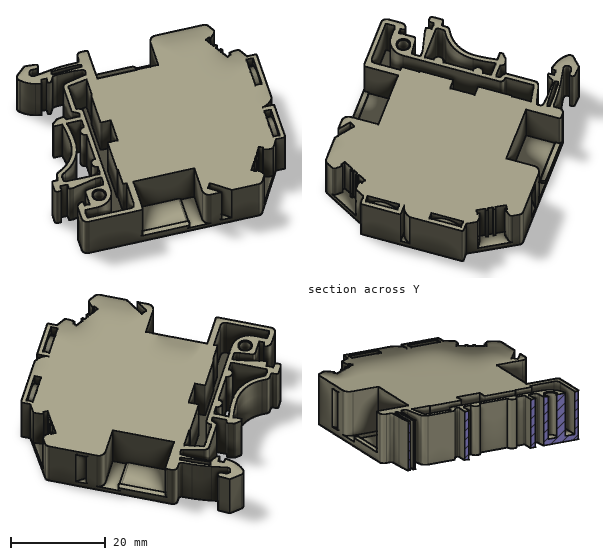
import cadquery as cq
import math

WIDTH = 43.8
HEIGHT = 50.75
THICKNESS = 11.0
HALF_WIDTH = WIDTH / 2
WALL = 1.35
TOUCHING = 0.0005
CHAMFER_ANGLE = 45.0
CLOSED_SLOT_TOP = 9.95
OVERCUT = 0.5

CROWN_HALF = 11.4
CROWN_FOOT_Y = 48.65
SHOULDER_ANGLE = 30.0
SHOULDER_Y = CROWN_FOOT_Y - (HALF_WIDTH - CROWN_HALF) * math.tan(math.radians(SHOULDER_ANGLE))
SHOULDER_R = 1.1
CROWN_R = 0.3

BODY_BOTTOM_Y = 14.15
TRAY_UNDERSIDE_Y = 10.45
TRAY_LOW_Y = 9.1
LEG_BOTTOM_Y = 3.5

STRAP_APEX_X = 0.55
STRAP_APEX_Y = 6.65
STRAP_THICKNESS = 1.0
STRAP_LEFT_X = -4.4
STRAP_FLAT_R = 28.4
STRAP_FLAT_ANGLE = 9.3
STRAP_TIGHT_R = 7.55
STRAP_TIGHT_ANGLE = 59.5


def rounded_wire(corners):
    """Closed sketch through (x, y) or (x, y, radius) corners, with tangent arcs at the radii."""
    stretches = []
    for i, corner in enumerate(corners):
        here = cq.Vector(corner[0], corner[1])
        radius = corner[2] if len(corner) > 2 else 0
        if radius == 0:
            stretches.append((here,))
            continue
        before = corners[i - 1]
        after = corners[(i + 1) % len(corners)]
        to_before = (cq.Vector(before[0], before[1]) - here).normalized()
        to_after = (cq.Vector(after[0], after[1]) - here).normalized()
        half_angle = to_before.getAngle(to_after) / 2
        tangent = radius / math.tan(half_angle)
        sagitta = radius / math.sin(half_angle) - radius
        middle = here + (to_before + to_after).normalized() * sagitta
        stretches.append((here + to_before * tangent, middle, here + to_after * tangent))

    sketch = cq.Workplane("XY").moveTo(*stretches[0][-1].toTuple()[:2])
    position = stretches[0][-1]
    for stretch in stretches[1:] + stretches[:1]:
        gap = (stretch[0] - position).Length
        if gap > TOUCHING:
            sketch = sketch.lineTo(*stretch[0].toTuple()[:2])
        position = stretch[-1]
        if len(stretch) == 3:
            sketch = sketch.threePointArc(stretch[1].toTuple()[:2], stretch[2].toTuple()[:2])
    return sketch.close()


def prism(corners, bottom=0.0, top=THICKNESS):
    return rounded_wire(corners).extrude(top - bottom).translate((0, 0, bottom))


def block(x0, x1, y0, y1, z0, z1):
    return cq.Workplane("XY").box(x1 - x0, y1 - y0, z1 - z0, centered=False).translate((x0, y0, z0))


def open_cut(corners, floor=WALL):
    """Cutter that is open at the +Z face and stops at the given floor."""
    return prism(corners, floor, THICKNESS + OVERCUT)


def both_sides(shape):
    return shape.union(shape.mirror("YZ"))


def strap_curve(offset, left_x, right_end_y, left_r, right_r):
    """Corners of one strap side: both arcs, run on along their tangents to the given ends."""
    flat_angle = math.radians(STRAP_FLAT_ANGLE)
    tight_angle = math.radians(STRAP_TIGHT_ANGLE)
    flat_r = STRAP_FLAT_R + offset
    tight_r = STRAP_TIGHT_R + offset
    flat_x = STRAP_APEX_X - flat_r * math.tan(flat_angle / 2)
    tight_x = STRAP_APEX_X + tight_r * math.tan(tight_angle / 2)
    y = STRAP_APEX_Y + offset
    return [
        (left_x, y - (flat_x - left_x) * math.tan(flat_angle), left_r),
        (flat_x, y, flat_r),
        (tight_x, y, tight_r),
        (tight_x + (y - right_end_y) / math.tan(tight_angle), right_end_y, right_r),
    ]


def housing():
    left_side = [
        (-CROWN_HALF, HEIGHT, CROWN_R),
        (-CROWN_HALF, CROWN_FOOT_Y),
        (-HALF_WIDTH, SHOULDER_Y, SHOULDER_R),
        (-HALF_WIDTH, BODY_BOTTOM_Y, 1.0),
    ]
    latch_arm = [
        (-19.45, BODY_BOTTOM_Y, 0.6), (-19.3, 9.4, 30.45),
        (-18.2, 3.15, 0.75), (-20.1, 3.15, 0.85), (-20.1, 5.45, 0.5), (-21.2, 5.45, 0.5), (-21.4, 2.65),
        (-18.9, -0.1, 0.95), (-16.75, 2.0, 6.1), (-16.0, 4.95, 0.15), (-17.05, 5.1), (-17.05, 6.3),
        (-15.8, 6.3, 0.1), (-15.85, 6.9, 0.15), (-17.2, 7.7), (-17.4, 8.6), (-17.4, 12.4),
        (-17.2, 14.65, 0.6), (-15.9, 14.65, 0.5),
    ]
    tray_underside = [
        (-14.55, TRAY_LOW_Y, 1.2), (-7.15, TRAY_LOW_Y, 0.3),
        (-6.3, TRAY_UNDERSIDE_Y, 0.3), (-5.5, TRAY_UNDERSIDE_Y, 0.3),
    ]
    spring_foot = [
        (-5.5, 7.45, 0.15), (-6.35, 7.05, 0.2), (-6.1, 5.55, 0.5), (-5.1, 4.35, 0.15),
        (STRAP_LEFT_X, 4.35, 0.15),
        *strap_curve(0, STRAP_LEFT_X, 1.5, 0, 1.0),
        (9.55, 1.45, 0.35), (9.55, 0.0, 0.45), (12.5, 0.0, 0.55), (12.5, 1.35, 0.1),
        (11.2, 1.45), (11.2, 3.0), (12.45, 3.1, 0.1), (12.45, 3.9), (11.25, 9.15),
        (11.25, TRAY_UNDERSIDE_Y, 0.3),
    ]
    fixed_leg = [
        (13.25, TRAY_UNDERSIDE_Y, 0.5), (13.35, 9.45), (13.7, 6.15, 0.6), (17.5, 6.15), (17.5, 5.1),
        (16.4, 4.9, 0.2), (16.85, LEG_BOTTOM_Y, 1.3), (HALF_WIDTH, LEG_BOTTOM_Y, 1.2),
    ]
    right_side = [
        (HALF_WIDTH, SHOULDER_Y, SHOULDER_R),
        (CROWN_HALF, CROWN_FOOT_Y),
        (CROWN_HALF, HEIGHT, CROWN_R),
    ]
    return prism(left_side + latch_arm + tray_underside + spring_foot + fixed_leg + right_side)


def arm_slot():
    return prism([(-18.75, 14.3, 0.25), (-18.05, 14.3, 0.25), (-17.7, 7.7, 0.2), (-18.5, 7.7, 0.2),
                  (-18.75, 11.15)])


def strap_window():
    """Opening between the spring strap and the tray, with two round nubs left on the tray."""
    right_x = 10.35
    bottom_y = 2.5
    nub_r = 1.05
    window = prism([(STRAP_LEFT_X, TRAY_UNDERSIDE_Y, 0.25),
                    *strap_curve(STRAP_THICKNESS, STRAP_LEFT_X, bottom_y, 0, 0.75),
                    (right_x, bottom_y, 0.5), (right_x, TRAY_UNDERSIDE_Y, 0.25)])
    nubs = (cq.Workplane("XY").pushPoints([(-1.45, TRAY_UNDERSIDE_Y), (7.3, TRAY_UNDERSIDE_Y)])
            .circle(nub_r).extrude(THICKNESS))
    return window.cut(nubs)


def tray():
    """Blind trough above the rail that turns down into the fixed leg."""
    floor_y = 11.45
    ceiling_y = 14.15
    end_ceiling_y = 14.35
    end_x = 10.25
    tab_half = 2.75
    tab_y = 16.4
    leg_x = 20.85
    return open_cut([
        (-14.55, end_ceiling_y), (-13.8, 10.15, 0.2), (-7.55, 10.15, 0.15), (-7.3, floor_y, 0.8),
        (18.75, floor_y, 3.85), (18.75, 4.7, 0.3), (leg_x, 4.7, 0.3), (leg_x, 15.15, 1.0),
        (14.2, 15.15), (14.2, end_ceiling_y, 0.2), (end_x, end_ceiling_y), (end_x, ceiling_y),
        (tab_half, ceiling_y, 0.2), (tab_half, tab_y), (-tab_half, tab_y), (-tab_half, ceiling_y, 0.2),
        (-end_x, ceiling_y), (-end_x, end_ceiling_y),
    ])


def leg_hole():
    """Blind round hole in the fixed leg with a chamfered mouth."""
    centre = (15.65, 8.75, WALL)
    mouth_r = 1.45
    chamfer = 0.18
    hole_r = mouth_r - chamfer
    hole = cq.Workplane("XY").circle(hole_r).extrude(THICKNESS - WALL)
    mouth = (cq.Workplane("XY", origin=(0, 0, THICKNESS - WALL)).circle(mouth_r)
             .extrude(-chamfer, taper=CHAMFER_ANGLE))
    return hole.union(mouth).translate(centre)


def wire_entry():
    """Left wire entry: a tall recess with a raised pad and an outer rim on its floor."""
    inner_x = -14.2
    top_y = 30.0
    bottom_y = 16.65
    floor = 1.05
    pad_top = 1.55
    rim_top = 1.95
    rim_width = 1.2
    pad_r = pad_top - floor
    rim_y = 27.0
    pad_y = 26.55
    mouth_r = 1.5
    lip_r = 0.4
    outer_x = -HALF_WIDTH - OVERCUT

    recess = open_cut([
        (inner_x, top_y), (-HALF_WIDTH, top_y, mouth_r), (-HALF_WIDTH, top_y + mouth_r),
        (outer_x, top_y + mouth_r), (outer_x, bottom_y - lip_r), (-HALF_WIDTH, bottom_y - lip_r),
        (-HALF_WIDTH, bottom_y, lip_r), (inner_x, bottom_y),
    ], floor)
    rim_inner_x = -HALF_WIDTH + rim_width
    rim_bottom_y = bottom_y - lip_r
    rim = prism([(-HALF_WIDTH, rim_y, 0.6), (rim_inner_x, rim_y, 0.2),
                 (rim_inner_x, rim_bottom_y), (-HALF_WIDTH, rim_bottom_y)], floor, rim_top)
    pad = (cq.Workplane("YZ")
           .moveTo(rim_bottom_y, floor)
           .lineTo(pad_y + pad_r, floor)
           .radiusArc((pad_y, pad_top), -pad_r)
           .lineTo(rim_bottom_y, pad_top)
           .close().extrude(inner_x - rim_inner_x).translate((rim_inner_x, 0, 0)))
    return recess.cut(rim).cut(pad)


def marker_notch():
    """Undercut label seat in the left shoulder, laid out along the slope from the crown foot."""
    near_throat = -3.3
    far_throat = -8.8
    undercut = 0.45
    lip_depth = 2.05
    seat_depth = 3.0
    near_mouth = -2.45
    far_mouth = -9.95
    near_end = near_throat + undercut
    far_end = far_throat - undercut
    cut = (
        cq.Workplane("XY")
        .moveTo(near_mouth, OVERCUT)
        .lineTo(near_mouth, 0)
        .threePointArc((-3.0, -0.95), (near_throat, -lip_depth))
        .lineTo(near_end, -lip_depth)
        .lineTo(near_end, -seat_depth)
        .lineTo(far_end, -seat_depth)
        .lineTo(far_end, -lip_depth)
        .lineTo(far_throat, -lip_depth)
        .lineTo(-9.3, -0.5)
        .threePointArc((-9.55, -0.15), (far_mouth, 0))
        .lineTo(far_mouth, OVERCUT)
        .close()
        .extrude(THICKNESS)
    )
    rib_half = 0.25
    rib_height = 0.5
    for rib_x in (-5.0, -6.65):
        cut = cut.cut(block(rib_x - rib_half, rib_x + rib_half,
                            -seat_depth, rib_height - seat_depth, 0, THICKNESS))
    return (cut.rotate((0, 0, 0), (0, 0, 1), SHOULDER_ANGLE)
            .translate((-CROWN_HALF, CROWN_FOOT_Y, WALL)))


def crown_notch():
    """Curved bite in the crown that ends at an upright face."""
    face_x = 2.5
    depth = 2.55
    start_x = 0.4
    top_y = HEIGHT + OVERCUT
    return (cq.Workplane("XY", origin=(0, 0, WALL))
            .moveTo(face_x, HEIGHT - depth)
            .threePointArc((1.85, 49.75), (start_x, HEIGHT))
            .lineTo(start_x, top_y).lineTo(face_x, top_y).close().extrude(THICKNESS))


def crown_pocket():
    """Left label pocket in the +Z face, with a domed floor."""
    x0, x1 = -10.6, -3.55
    y0, y1 = 48.3, 49.75
    floor = 8.7
    dome_top = 10.2
    dome_r = 4.3
    dome_x = -6.95
    pocket = block(x0, x1, y0, y1, floor, THICKNESS + OVERCUT)
    dome = (cq.Workplane("XZ", origin=(dome_x, y1, dome_top - dome_r))
            .circle(dome_r).extrude(y1 - y0))
    return pocket.cut(dome)


def side_slot(top):
    """Slanted slot in the right side face, from the wall below it up to the given level."""
    outer_x = HALF_WIDTH + OVERCUT
    return prism([(outer_x, 36.8), (18.9, 32.05), (20.05, 31.35), (outer_x, 34.5)], WALL, top)


result = (
    housing()
    .cut(arm_slot())
    .cut(strap_window())
    .cut(tray())
    .cut(leg_hole())
    .cut(both_sides(wire_entry()))
    .cut(both_sides(marker_notch()))
    .cut(both_sides(crown_pocket()))
    .cut(crown_notch())
    .cut(side_slot(THICKNESS))
    .cut(side_slot(CLOSED_SLOT_TOP).mirror("YZ"))
)